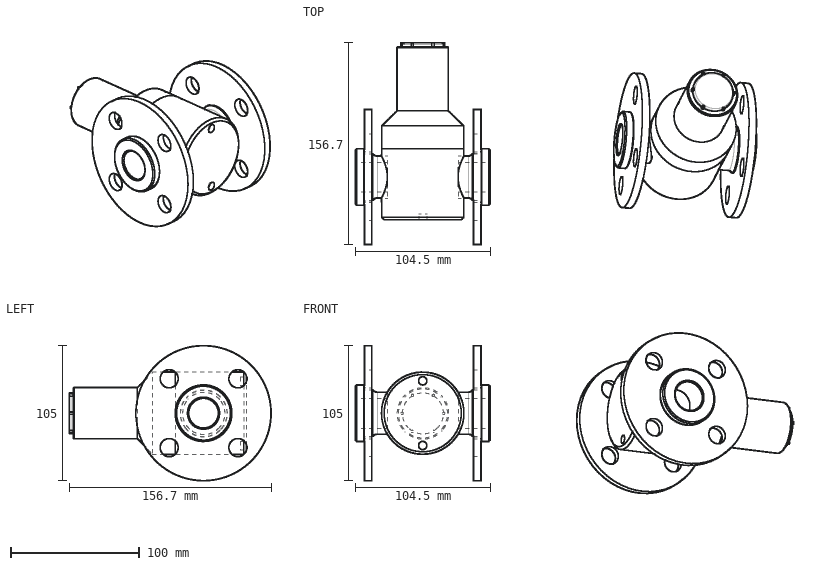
import cadquery as cq
import math


body_d = 64.0
body_front_y = -33.2
body_chamfer = 2.0
joint_y = 21.8
shoulder_y = 39.7
neck_y = 51.2
neck_end_y = 101.2
neck_d = 40.0
neck_chamfer = 1.0
face_hole_d = 6.5
face_hole_offset = 25.0
face_hole_depth = 4.7

flange_d = 105.0
flange_thickness = 6.0
flange_outer_x = 45.3
flange_bore_d = 36.5
bolt_hole_d = 14.0
bolt_offset = 26.6
bolt_count = 4
bolt_start_angle = 45

port_length = 104.5
stub_end_x = port_length / 2
collar_d = 44.0
collar_front_chamfer = 1.1
collar_back_chamfer = 0.6
sleeve_d = 36.0
sleeve_end_x = 38.5
pipe_d = 32.8
pipe_fillet = 3.9
port_d = 23.0
port_chamfer = 1.0

cap_end_y = 104.2
cap_d = 31.8
cap_edge_fillet = 1.1
rib_count = 6
rib_r = 1.0
rib_tip_r = 17.1

seat_x = math.sqrt((body_d / 2) ** 2 - (pipe_d / 2) ** 2)


def disc_y(diameter, start_y, end_y, x=0.0, z=0.0):
    """Cylinder parallel to Y."""
    plane = cq.Workplane("XZ", origin=(x, start_y, z))
    return plane.circle(diameter / 2).extrude(start_y - end_y)


def disc_x(diameter, start_x, end_x):
    """Cylinder on the X axis."""
    return cq.Workplane("YZ", origin=(start_x, 0, 0)).circle(diameter / 2).extrude(end_x - start_x)


def make_body():
    body = disc_y(body_d, body_front_y, joint_y).faces("<Y").chamfer(body_chamfer)
    for side in (-1, 1):
        hole_end_y = body_front_y + face_hole_depth
        body = body.cut(disc_y(face_hole_d, body_front_y, hole_end_y, z=side * face_hole_offset))
        body = body.cut(disc_x(pipe_d, side * seat_x, side * body_d / 2))
    return body


def make_bonnet():
    body_r = body_d / 2
    neck_r = neck_d / 2
    profile = [
        (0, joint_y),
        (body_r, joint_y),
        (body_r, shoulder_y),
        (neck_r, neck_y),
        (neck_r, neck_end_y - neck_chamfer),
        (neck_r - neck_chamfer, neck_end_y),
        (0, neck_end_y),
    ]
    return cq.Workplane("XY").polyline(profile).close().revolve(360, (0, 0), (0, 1))


def make_flange():
    """Loose flange on the +X side."""
    flange = disc_x(flange_d, flange_outer_x - flange_thickness, flange_outer_x)
    flange = flange.cut(disc_x(flange_bore_d, flange_outer_x - flange_thickness, flange_outer_x))
    bolt_circle_r = bolt_offset * math.sqrt(2)
    holes = (
        cq.Workplane("YZ", origin=(flange_outer_x, 0, 0))
        .polarArray(bolt_circle_r, bolt_start_angle, 360, bolt_count)
        .circle(bolt_hole_d / 2)
        .extrude(-flange_thickness)
    )
    return flange.cut(holes)


def make_stub():
    """Stub end on the +X side: collar, sleeve and pipe around an open port."""
    pipe_r = pipe_d / 2
    sleeve_r = sleeve_d / 2
    collar_r = collar_d / 2
    port_r = port_d / 2
    fillet_center_r = pipe_r + pipe_fillet
    fillet_angle = math.acos((fillet_center_r - sleeve_r) / pipe_fillet)
    fillet_start_x = sleeve_end_x - pipe_fillet * math.sin(fillet_angle)
    fillet_mid = (
        fillet_start_x + pipe_fillet * math.sin(fillet_angle / 2),
        fillet_center_r - pipe_fillet * math.cos(fillet_angle / 2),
    )
    return (
        cq.Workplane("XY")
        .moveTo(seat_x, port_r)
        .lineTo(seat_x, pipe_r)
        .lineTo(fillet_start_x, pipe_r)
        .threePointArc(fillet_mid, (sleeve_end_x, sleeve_r))
        .lineTo(flange_outer_x, sleeve_r)
        .lineTo(flange_outer_x, collar_r - collar_back_chamfer)
        .lineTo(flange_outer_x + collar_back_chamfer, collar_r)
        .lineTo(stub_end_x - collar_front_chamfer, collar_r)
        .lineTo(stub_end_x, collar_r - collar_front_chamfer)
        .lineTo(stub_end_x, port_r + port_chamfer)
        .lineTo(stub_end_x - port_chamfer, port_r)
        .close()
        .revolve(360, (0, 0), (1, 0))
    )


def make_cap():
    cap = disc_y(cap_d, neck_end_y, cap_end_y).faces(">Y").edges().fillet(cap_edge_fillet)
    rib_center_r = rib_tip_r - rib_r
    for index in range(rib_count):
        angle = 2 * math.pi * index / rib_count
        rib_x = rib_center_r * math.cos(angle)
        rib_z = rib_center_r * math.sin(angle)
        cap = cap.union(disc_y(2 * rib_r, neck_end_y, cap_end_y, x=rib_x, z=rib_z))
    return cap


body = make_body()
bonnet = make_bonnet()
cap = make_cap()
flanges = []
stubs = []
for turn in (0, 180):
    flanges.append(make_flange().rotate((0, 0, 0), (0, 0, 1), turn).val())
    stubs.append(make_stub().rotate((0, 0, 0), (0, 0, 1), turn).val())

result = cq.Compound.makeCompound([body.val(), bonnet.val(), cap.val(), *flanges, *stubs])